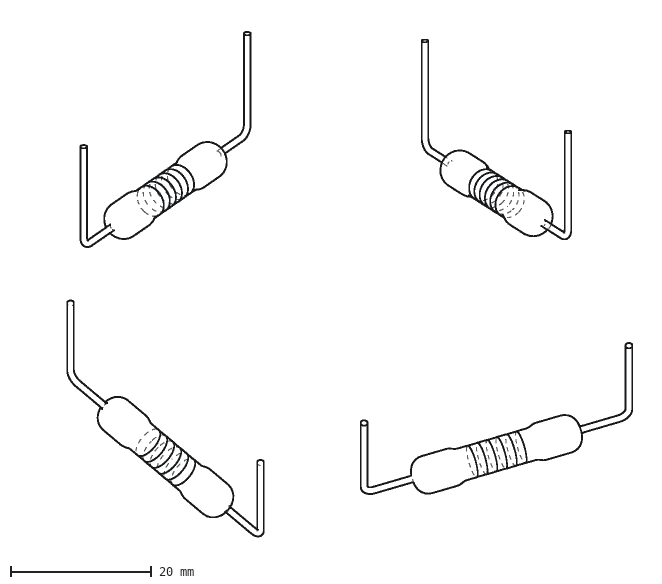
import cadquery as cq
import math

overall_length = 41.0
lead_diameter = 1.0
lead_top = 16.35
bend_radius = 1.5

cap_diameter = 5.5
cap_end = 12.55
cap_shoulder = 10.55
cap_inner_end = 6.75
barrel_end = 5.15

band_diameter = 4.7
gap_diameter = 4.67
band_count = 7

fillet_radius = 0.5

lead_radius = lead_diameter / 2
cap_radius = cap_diameter / 2
band_radius = band_diameter / 2
gap_radius = gap_diameter / 2
cap_round = cap_end - cap_shoulder
lead_offset = overall_length / 2 - lead_radius
band_width = 2 * barrel_end / band_count


def make_barrel():
    """Row of cylinders that alternate between band and gap diameter."""
    barrel = cq.Workplane("XZ")
    for index in range(band_count):
        radius = band_radius if index % 2 == 0 else gap_radius
        start = -barrel_end + index * band_width
        segment = cq.Workplane("XZ", origin=(0, start, 0)).circle(radius).extrude(-band_width)
        barrel = barrel.add(segment)
    return barrel.combine()


def make_cap():
    """Cap on the +Y end: S-shaped flare, cylinder, rounded end and lead fillet."""
    flare_length = cap_inner_end - barrel_end
    flare_rise = cap_radius - band_radius
    flare_middle = ((band_radius + cap_radius) / 2, (barrel_end + cap_inner_end) / 2)

    round_centre_radius = cap_radius - cap_round
    fillet_centre_radius = lead_radius + fillet_radius
    centre_distance = cap_round + fillet_radius
    radial_gap = fillet_centre_radius - round_centre_radius
    fillet_centre_y = cap_shoulder + math.sqrt(centre_distance**2 - radial_gap**2)
    contact_share = cap_round / centre_distance
    contact = (
        round_centre_radius + contact_share * radial_gap,
        cap_shoulder + contact_share * (fillet_centre_y - cap_shoulder),
    )

    flare_radius = (flare_length**2 + flare_rise**2) / (4 * flare_rise)
    profile = (
        cq.Workplane("XY")
        .moveTo(0, barrel_end)
        .lineTo(band_radius, barrel_end)
        .radiusArc(flare_middle, flare_radius)
        .radiusArc((cap_radius, cap_inner_end), -flare_radius)
        .lineTo(cap_radius, cap_shoulder)
        .radiusArc(contact, -cap_round)
        .radiusArc((lead_radius, fillet_centre_y), fillet_radius)
        .lineTo(0, fillet_centre_y)
        .close()
    )
    return profile.revolve(360, (0, 0, 0), (0, 1, 0))


def make_lead():
    """Lead on the +Y side: straight run out of the cap, bend, upright pin."""
    diagonal = bend_radius * math.sqrt(0.5)
    bend_start = lead_offset - bend_radius
    bend_middle = (bend_start + diagonal, bend_radius - diagonal)
    path = (
        cq.Workplane("YZ")
        .moveTo(cap_shoulder, 0)
        .lineTo(bend_start, 0)
        .threePointArc(bend_middle, (lead_offset, bend_radius))
        .lineTo(lead_offset, lead_top)
    )
    start = cq.Workplane("XZ", origin=(0, cap_shoulder, 0))
    return start.circle(lead_radius).sweep(path)


end_parts = make_cap().union(make_lead())
result = make_barrel().union(end_parts).union(end_parts.mirror("XZ"))